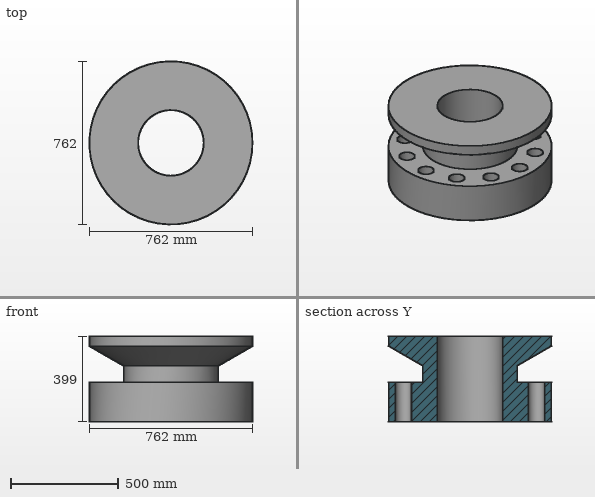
import cadquery as cq

outer_diameter = 762.0
neck_diameter = 442.0
bore_diameter = 305.0
base_height = 184.0
neck_height = 76.0
cone_height = 92.0
rim_height = 47.0

bolt_hole_count = 12
bolt_hole_diameter = 74.0
bolt_circle_diameter = 619.0

neck_top = base_height + neck_height
cone_top = neck_top + cone_height
total_height = cone_top + rim_height
outer_radius = outer_diameter / 2
neck_radius = neck_diameter / 2
bore_radius = bore_diameter / 2


def make_body():
    """Base flange, neck, flared cone and rim around an open bore, revolved about Z."""
    half_section = (
        cq.Workplane("XZ")
        .moveTo(bore_radius, 0)
        .lineTo(outer_radius, 0)
        .lineTo(outer_radius, base_height)
        .lineTo(neck_radius, base_height)
        .lineTo(neck_radius, neck_top)
        .lineTo(outer_radius, cone_top)
        .lineTo(outer_radius, total_height)
        .lineTo(bore_radius, total_height)
        .close()
    )
    return half_section.revolve(360, (0, 0, 0), (0, 1, 0))


def make_bolt_holes():
    """Ring of evenly spaced pins that cut through the base flange; the first lies on +X."""
    return (
        cq.Workplane("XY")
        .polarArray(bolt_circle_diameter / 2, 0, 360, bolt_hole_count)
        .circle(bolt_hole_diameter / 2)
        .extrude(base_height)
    )


result = make_body().cut(make_bolt_holes())